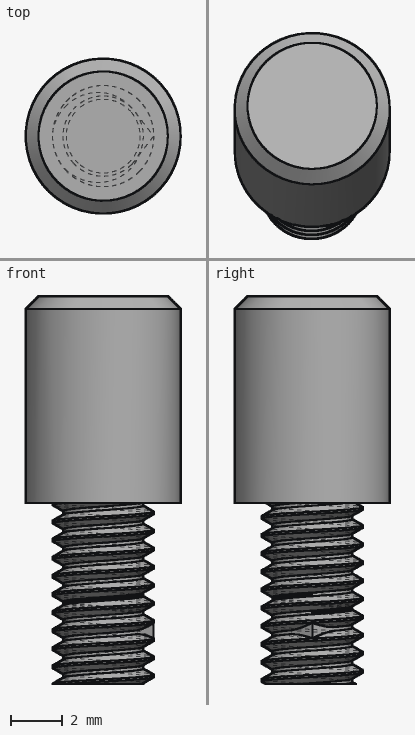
import cadquery as cq
import math

total_length = 15.0
head_diameter = 6.0
head_chamfer = head_diameter / 12

major_radius = 3.92 / 2
root_radius = 3.1 / 2
pitch = 2.1 / 3
thread_turns = 10
crest_flat = pitch / 8
flank_slope = math.tan(math.radians(30))
groove_half_width = (pitch - crest_flat) / 2
root_half_width = groove_half_width - (major_radius - root_radius) * flank_slope
shank_length = thread_turns * pitch
head_length = total_length - shank_length
apex_radius = root_radius - root_half_width / flank_slope

runout_height = 2.07
runout_angle = 41.0

deep_turn_height = runout_height + pitch
deep_width_ratio = 0.9

ridge_start_height = runout_height - 4.5 * pitch
ridge_turns = thread_turns + 3

overlap = 0.03
tip_inset = 0.008

core_seam_angle = 100.0


def helical_body(profile, start_height, turns):
    """Sweep a closed (radius, height) profile along a right-handed helix from +X."""
    helix = cq.Wire.makeHelix(pitch, turns * pitch, root_radius)
    path = cq.Workplane(obj=helix)
    body = cq.Workplane("XZ").polyline(profile).close().sweep(path, isFrenet=True)
    return body.translate((0, 0, start_height))


def cylinder(radius, length):
    return cq.Workplane("XY").circle(radius).extrude(length)


def thread_ridge():
    crest_half_width = crest_flat / 2
    base_radius = root_radius - overlap
    base_half_width = crest_half_width + (major_radius - base_radius) * flank_slope
    profile = [
        (base_radius, -base_half_width),
        (major_radius, -crest_half_width),
        (major_radius, crest_half_width),
        (base_radius, base_half_width),
    ]
    ridge = helical_body(profile, ridge_start_height, ridge_turns)
    return ridge.intersect(cylinder(head_diameter / 2, shank_length))


def deep_root_cutter():
    half_width = deep_width_ratio * root_half_width
    outer_radius = root_radius + overlap
    profile = [
        (apex_radius, 0),
        (outer_radius, -half_width),
        (outer_radius, half_width),
    ]
    return helical_body(profile, deep_turn_height, 1)


def runout_ramp():
    """Wedge that fills the groove to the crest at +X and fades to the root on both sides."""
    tip_radius = major_radius - tip_inset
    side_radius = root_radius - tip_inset
    side_x = side_radius * math.cos(math.radians(runout_angle))
    side_y = side_radius * math.sin(math.radians(runout_angle))
    outline = [(0, 0), (side_x, -side_y), (tip_radius, 0), (side_x, side_y)]
    wedge = cq.Workplane("XY").polyline(outline).close().extrude(2 * groove_half_width)
    return wedge.translate((0, 0, runout_height - groove_half_width))


def threaded_shank():
    core = cylinder(root_radius, shank_length).rotate((0, 0, 0), (0, 0, 1), core_seam_angle)
    return core.cut(deep_root_cutter()).union(thread_ridge()).union(runout_ramp())


def head():
    blank = cq.Workplane("XY").workplane(offset=shank_length).circle(head_diameter / 2).extrude(head_length)
    return blank.faces(">Z").chamfer(head_chamfer)


result = head().union(threaded_shank())